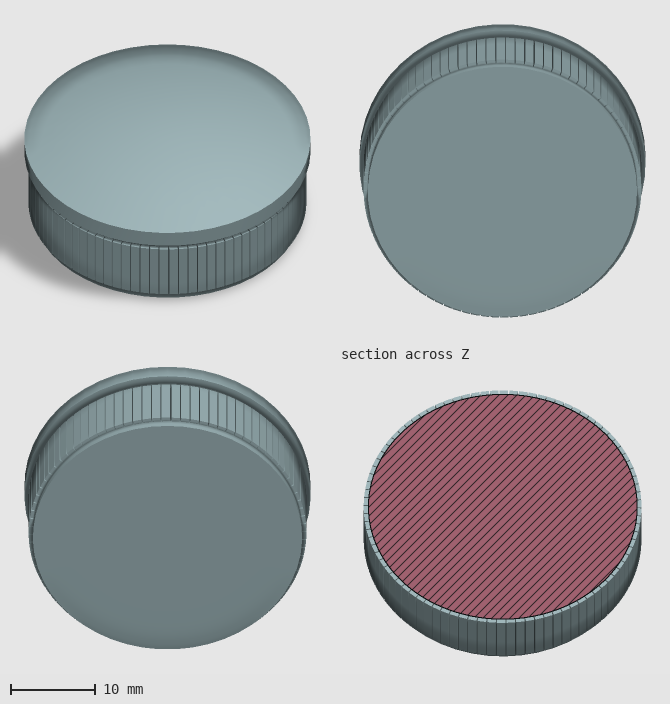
import cadquery as cq

plug_diameter = 31.7
plug_height = 9.0

head_diameter = 33.7
rim_height = 2.0
dome_height = 3.01

rib_count = 90
rib_width = 1.0
rib_depth = 0.5
rib_base = 1.0
rib_height = 7.0

rim_bottom = plug_height
rim_top = rim_bottom + rim_height
apex = rim_top + dome_height


def make_head():
    """Cylindrical rim capped by a shallow spherical dome."""
    head_radius = head_diameter / 2
    dome_radius = (head_radius**2 + dome_height**2) / (2 * dome_height)
    dome_center = apex - dome_radius
    dome_mid_x = head_radius / 2
    dome_mid_z = dome_center + (dome_radius**2 - dome_mid_x**2) ** 0.5
    profile = (
        cq.Workplane("XZ")
        .moveTo(0, rim_bottom)
        .lineTo(head_radius, rim_bottom)
        .lineTo(head_radius, rim_top)
        .threePointArc((dome_mid_x, dome_mid_z), (0, apex))
        .close()
    )
    return profile.revolve(360, (0, 0, 0), (0, 1, 0))


def make_ribs():
    """Flat-faced upright ribs around the plug, with their inner ends buried in it; one lies on +X."""
    face_radius = plug_diameter / 2 + rib_depth
    buried_depth = rib_depth
    rib_length = rib_depth + buried_depth
    return (
        cq.Workplane("XY")
        .workplane(offset=rib_base)
        .polarArray(face_radius - rib_length / 2, 0, 360, rib_count)
        .rect(rib_length, rib_width)
        .extrude(rib_height)
    )


def make_plug():
    """Cylindrical plug; the gaps between the ribs end on its surface."""
    return cq.Workplane("XY").circle(plug_diameter / 2).extrude(plug_height)


result = make_plug().union(make_ribs()).union(make_head())